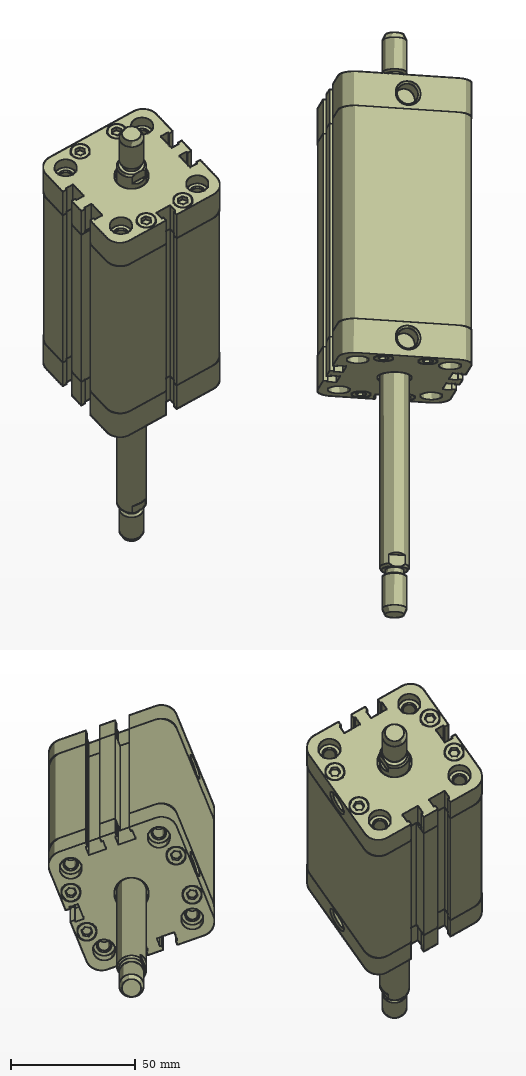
import cadquery as cq


body_width = 54.8
body_length = 120.0
cap_length = 14.6
cap_corner_radius = 6.6
barrel_corner_radius = 7.2
barrel_length = body_length - 2 * cap_length

slot_depth = 5.6
slot_lip = 1.9
pair_mouth_width = 6.0
pair_offset = 6.35
pair_undercut = 0.75
single_mouth_width = 5.2
single_undercut = 0.8

mount_pitch = 38.0
mount_counterbore_diameter = 9.0
mount_counterbore_depth = 5.0
mount_hole_diameter = 4.92
mount_chamfer_diameter = 6.0

screw_pitch_x = 45.4
screw_pitch_y = 18.2
screw_recess_diameter = 7.9
screw_head_diameter = 7.5
screw_gap_depth = 1.0
screw_socket_diameter = 4.4
screw_socket_depth = 2.0

port_diameter = 8.57
port_mouth_diameter = 10.3
port_from_end = 7.9
port_core_diameter = 40.0

rod_opening_diameter = 13.7
rod_opening_mouth_diameter = 14.0
rod_opening_depth = 3.0

stroke = 75.0
retracted_reach = 26.0
extended_reach = retracted_reach + stroke
rod_diameter = 12.0
rod_chamfer_width = 0.7
rod_chamfer_length = 1.1
thread_diameter = 10.0
thread_length = 16.0
thread_tip_diameter = 7.7
thread_tip_length = 2.5
neck_diameter = 7.5
neck_length = 3.0
neck_taper_length = 0.8
flat_width = 10.0
flat_length = 4.8
flat_run_out_length = 0.8


def make_slot(length, mouth_width, left_undercut, right_undercut):
    """Slot cutter centred on X = 0, open toward +Y at the +Y face of the body."""
    face = body_width / 2
    lip = face - slot_lip
    floor = face - slot_depth
    mouth = mouth_width / 2
    neck = cq.Workplane("XY").rect(mouth_width, 2 * slot_depth).extrude(length).translate((0, face, 0))
    pocket_width = mouth_width + left_undercut + right_undercut
    pocket = (
        cq.Workplane("XY", origin=(-mouth - left_undercut, floor, 0))
        .rect(pocket_width, lip - floor, centered=False)
        .extrude(length)
    )
    return neck.union(pocket)


def cut_slots(block, length, middle_undercut):
    """Cut all five slots; middle_undercut widens each paired slot toward the middle of its face."""
    paired = make_slot(length, pair_mouth_width, middle_undercut, pair_undercut).translate((pair_offset, 0, 0))
    for slot in (paired, paired.mirror("YZ")):
        block = block.cut(slot).cut(slot.mirror("XZ"))
    single = make_slot(length, single_mouth_width, single_undercut, single_undercut)
    return block.cut(single.rotate((0, 0, 0), (0, 0, 1), -90))


def make_block(length, corner_radius):
    block = cq.Workplane("XY").box(body_width, body_width, length, centered=(True, True, False))
    return block.edges("|Z").fillet(corner_radius)


def cut_mounting_holes(cap):
    chamfer = (mount_chamfer_diameter - mount_hole_diameter) / 2
    holes = (
        cq.Workplane("XY", origin=(0, 0, cap_length))
        .rect(mount_pitch, mount_pitch, forConstruction=True)
        .vertices()
    )
    seats = (
        cq.Workplane("XY", origin=(0, 0, cap_length - mount_counterbore_depth))
        .rect(mount_pitch, mount_pitch, forConstruction=True)
        .vertices()
    )
    cap = cap.cut(holes.circle(mount_hole_diameter / 2).extrude(-cap_length))
    cap = cap.cut(holes.circle(mount_counterbore_diameter / 2).extrude(-mount_counterbore_depth))
    return cap.cut(seats.circle(mount_chamfer_diameter / 2).extrude(-chamfer, taper=45))


def cut_screw_heads(cap):
    """Each screw head shows as a ring-shaped gap around a hexagon socket."""
    for x in (-screw_pitch_x / 2, screw_pitch_x / 2):
        for y in (-screw_pitch_y / 2, screw_pitch_y / 2):
            screw = cq.Workplane("XY", origin=(x, y, cap_length)).transformed(rotate=(0, 0, 90))
            gap = screw.circle(screw_recess_diameter / 2).circle(screw_head_diameter / 2)
            cap = cap.cut(gap.extrude(-screw_gap_depth))
            cap = cap.cut(screw.polygon(6, screw_socket_diameter).extrude(-screw_socket_depth))
    return cap


def cut_port(cap):
    chamfer = (port_mouth_diameter - port_diameter) / 2
    port_plane = cq.Workplane("YZ", origin=(-body_width / 2, 0, cap_length - port_from_end))
    port = port_plane.circle(port_diameter / 2).extrude(body_width / 2)
    core = cq.Workplane("XY").circle(port_core_diameter / 2).extrude(cap_length)
    mouth = port_plane.circle(port_mouth_diameter / 2).extrude(chamfer, taper=45)
    return cap.cut(port.cut(core)).cut(mouth)


def cut_rod_passage(cap):
    chamfer = (rod_opening_mouth_diameter - rod_opening_diameter) / 2
    outer_face = cq.Workplane("XY", origin=(0, 0, cap_length))
    cap = cap.cut(outer_face.circle(rod_diameter / 2).extrude(-cap_length))
    cap = cap.cut(outer_face.circle(rod_opening_diameter / 2).extrude(-rod_opening_depth))
    return cap.cut(outer_face.circle(rod_opening_mouth_diameter / 2).extrude(-chamfer, taper=45))


def make_cap():
    """End cap with its inner face at Z = 0 and its outer face toward +Z."""
    cap = cut_slots(make_block(cap_length, cap_corner_radius), cap_length, pair_undercut)
    cap = cut_mounting_holes(cap)
    cap = cut_screw_heads(cap)
    cap = cut_port(cap)
    return cut_rod_passage(cap)


def make_barrel():
    """Barrel with its lower face at Z = 0; its paired slots are plain on the side toward the middle."""
    return cut_slots(make_block(barrel_length, barrel_corner_radius), barrel_length, 0)


def make_rod(reach):
    """Rod from the inner face of its cap at Z = 0, reaching past the outer face of the cap toward +Z."""
    tip = cap_length + reach
    thread_end = tip - thread_length
    shoulder = thread_end - neck_length
    rod_radius = rod_diameter / 2
    thread_radius = thread_diameter / 2
    neck_radius = neck_diameter / 2
    profile = [
        (0, 0),
        (rod_radius, 0),
        (rod_radius, shoulder - rod_chamfer_length),
        (rod_radius - rod_chamfer_width, shoulder),
        (neck_radius, shoulder),
        (neck_radius, thread_end - neck_taper_length),
        (thread_radius, thread_end),
        (thread_radius, tip - thread_tip_length),
        (thread_tip_diameter / 2, tip),
        (0, tip),
    ]
    rod = cq.Workplane("XZ").polyline(profile).close().revolve(360, (0, 0, 0), (0, 1, 0))

    flat_edge = flat_width / 2
    flat_end = shoulder - flat_length
    flat = (
        cq.Workplane("XZ")
        .moveTo(flat_edge, shoulder)
        .lineTo(flat_edge, flat_end)
        .lineTo(rod_radius, flat_end - flat_run_out_length)
        .lineTo(rod_radius, shoulder)
        .close()
        .extrude(rod_radius, both=True)
    )
    return rod.cut(flat).cut(flat.mirror("YZ"))


def place_upper(part):
    """Move a part built on a cap's inner face to the upper end of the barrel."""
    return part.translate((0, 0, body_length - cap_length))


def place_lower(part):
    """Turn a part built on a cap's inner face upside down onto the lower end of the barrel."""
    return part.mirror("XY").translate((0, 0, cap_length))


cap = make_cap()
upper_cap = place_upper(cap)
lower_cap = place_lower(cap)
barrel = make_barrel().translate((0, 0, cap_length))
upper_rod = place_upper(make_rod(retracted_reach))
lower_rod = place_lower(make_rod(extended_reach))

result = cq.Compound.makeCompound(
    [upper_cap.val(), lower_cap.val(), barrel.val(), upper_rod.val(), lower_rod.val()]
)